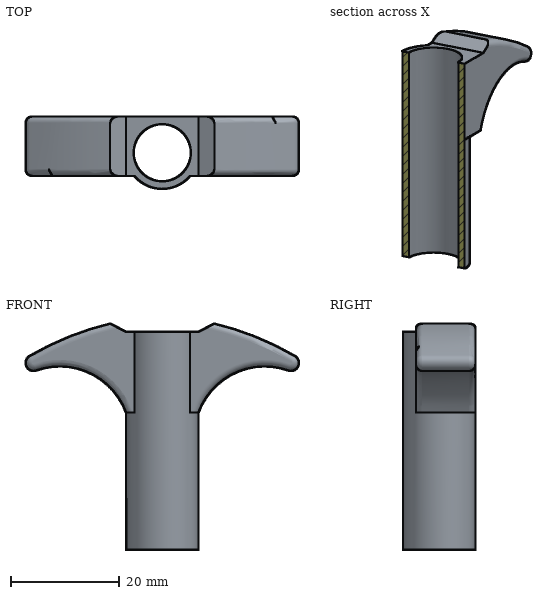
import cadquery as cq
import math

tube_diameter = 13.4
bore_diameter = 10.5
tube_height = 40.3
tube_radius = tube_diameter / 2

wing_span = 50.48
wing_thickness = 11.0
wing_rear_y = tube_radius
wing_base_z = 25.35
peak_z = 41.81
ramp_run = 2.9
edge_radius = 1.2

crown_radius = 55.0
underside_radius = 13.0
tip_radius = 1.5
underside_center_x = 18.9


def point_on_ray(center, toward, distance):
    """Point at a signed distance from center along the line to another point."""
    span = math.dist(center, toward)
    return tuple(c + (t - c) * distance / span for c, t in zip(center, toward))


def arc_middle(center, start, end, radius):
    """Middle point of the short arc from start to end."""
    chord_middle = tuple((s + e) / 2 for s, e in zip(start, end))
    return point_on_ray(center, chord_middle, radius)


def circle_intersection(center_a, radius_a, center_b, radius_b):
    """Intersection of two circles that lies to the right of the line from a to b."""
    span = math.dist(center_a, center_b)
    along = (span**2 + radius_a**2 - radius_b**2) / (2 * span)
    offset = math.sqrt(radius_a**2 - along**2)
    unit_x = (center_b[0] - center_a[0]) / span
    unit_z = (center_b[1] - center_a[1]) / span
    return (
        center_a[0] + along * unit_x + offset * unit_z,
        center_a[1] + along * unit_z - offset * unit_x,
    )


def make_tube():
    return cq.Workplane("XY").circle(tube_radius).extrude(tube_height)


def make_right_wing():
    """Half of the handle on the +X side, from the tube axis out to the tip."""
    peak_x = tube_radius + ramp_run
    peak = (peak_x, peak_z)
    root = (tube_radius, wing_base_z)

    underside_run = underside_center_x - tube_radius
    underside_drop = math.sqrt(underside_radius**2 - underside_run**2)
    underside_center = (underside_center_x, wing_base_z - underside_drop)

    tip_x = wing_span / 2 - tip_radius
    tip_reach = underside_radius + tip_radius
    tip_rise = math.sqrt(tip_reach**2 - (tip_x - underside_center_x) ** 2)
    tip_center = (tip_x, underside_center[1] + tip_rise)
    tip_bottom = point_on_ray(underside_center, tip_center, underside_radius)

    crown_center = circle_intersection(peak, crown_radius, tip_center, crown_radius - tip_radius)
    tip_top = point_on_ray(crown_center, tip_center, crown_radius)

    tip_end = (wing_span / 2, tip_center[1])
    crown_middle = arc_middle(crown_center, peak, tip_top, crown_radius)
    underside_middle = arc_middle(underside_center, tip_bottom, root, underside_radius)

    wing = (
        cq.Workplane("XZ", origin=(0, wing_rear_y, 0))
        .moveTo(0, wing_base_z)
        .lineTo(0, tube_height)
        .lineTo(tube_radius, tube_height)
        .lineTo(*peak)
        .threePointArc(crown_middle, tip_top)
        .threePointArc(tip_end, tip_bottom)
        .threePointArc(underside_middle, root)
        .close()
        .extrude(wing_thickness)
    )
    return wing.faces("|Y").edges("not %LINE").fillet(edge_radius)


def make_bore():
    return cq.Workplane("XY").circle(bore_diameter / 2).extrude(tube_height)


right_wing = make_right_wing()
left_wing = right_wing.mirror("YZ")
result = make_tube().union(right_wing).union(left_wing).cut(make_bore())